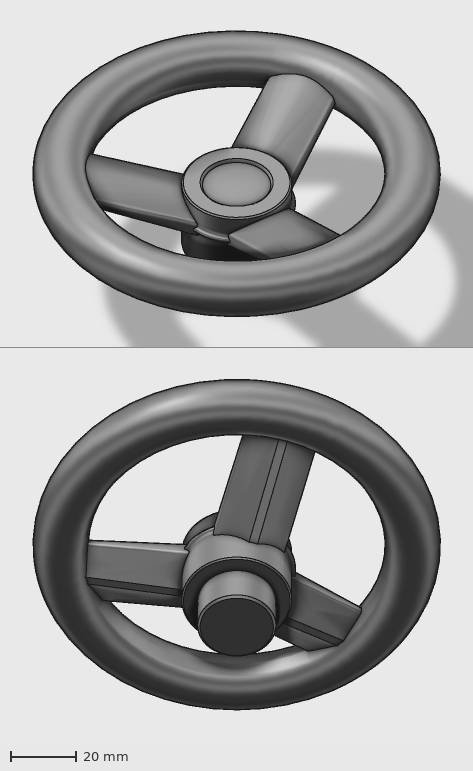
import cadquery as cq
import math


OUTER_DIAMETER = 125.0
RIM_THICKNESS = 17.0
RIM_PATH_RADIUS = (OUTER_DIAMETER - RIM_THICKNESS) / 2

OVERALL_HEIGHT = 49.0
BUSHING_DIAMETER = 24.0
BUSHING_LENGTH = 12.7
BUSHING_CHAMFER = 0.7
BUSHING_BOTTOM = RIM_THICKNESS / 2 - OVERALL_HEIGHT

HUB_DIAMETER = 33.7
HUB_RADIUS = HUB_DIAMETER / 2
HUB_BOTTOM = BUSHING_BOTTOM + BUSHING_LENGTH
HUB_TOP = -3.5
HUB_CHAMFER = 0.5

BEAD_DIAMETER = 36.1
BEAD_CENTRE = -12.1
BEAD_CREST_HEIGHT = 1.5
BEAD_HOLLOW_HEIGHT = 1.5

CAP_DIAMETER = 21.0
CAP_MOUTH_DIAMETER = 22.4
CAP_RIM_DEPTH = 1.0
CAP_SKIRT_HEIGHT = 2.0
CAP_RADIUS = CAP_DIAMETER / 2
CAP_EDGE = HUB_TOP - CAP_RIM_DEPTH
CAP_BOTTOM = CAP_EDGE - CAP_SKIRT_HEIGHT

SPOKE_COUNT = 3
SPOKE_WIDTH = 23.0
UPPER_EDGE_FILLET = 2.0
LOWER_EDGE_FILLET = 1.2
KEEL_WIDTH = 2.7
SPOKE_START = 2.5
SPOKE_END_DIAMETER = 103.2
SPOKE_END_RADIUS = SPOKE_END_DIAMETER / 2

INNER_STATION = 12.5
OUTER_STATION = 46.2

INNER_HEIGHTS = (-6.7, -10.2, -14.6, -21.4)
OUTER_HEIGHTS = (3.7, 1.5, -1.1, -5.4)


def spoke_heights(distance):
    """Crown, edge and keel heights at a distance from the axis; all four run straight."""
    share = (distance - INNER_STATION) / (OUTER_STATION - INNER_STATION)
    return [inner + share * (outer - inner) for inner, outer in zip(INNER_HEIGHTS, OUTER_HEIGHTS)]


def spoke_section(distance):
    """Section across a spoke along +X: arched crown, upright edges, flanks down to a flat keel."""
    crown, upper, lower, keel = spoke_heights(distance)
    half = SPOKE_WIDTH / 2
    return (
        cq.Workplane("YZ", origin=(distance, 0, 0))
        .moveTo(-half, upper)
        .threePointArc((0, crown), (half, upper))
        .lineTo(half, lower)
        .lineTo(KEEL_WIDTH / 2, keel)
        .lineTo(-KEEL_WIDTH / 2, keel)
        .lineTo(-half, lower)
        .close()
        .wires()
        .val()
    )


def runs_along_spoke(edge):
    """True for the long edges, false for the upright ones at the spoke ends."""
    return edge.BoundingBox().xlen > SPOKE_END_RADIUS / 2


def make_spoke():
    """Tapered spoke along +X, ending inside the rim on a cylinder about the wheel axis."""
    sections = [spoke_section(SPOKE_START), spoke_section(SPOKE_END_RADIUS)]
    spoke = cq.Workplane(cq.Solid.makeLoft(sections, True))
    for end, radius in ((">Z", UPPER_EDGE_FILLET), ("<Z", LOWER_EDGE_FILLET)):
        upright_sides = spoke.faces("<Y or >Y")
        spoke = upright_sides.edges().filter(runs_along_spoke).edges(end).fillet(radius)
    reach = cq.Workplane("XY").circle(SPOKE_END_RADIUS).extrude(OVERALL_HEIGHT, both=True)
    return spoke.intersect(reach)


def make_bead():
    """Ring with a round crest that runs tangentially into the hub wall through two hollows."""
    rise = BEAD_DIAMETER / 2 - HUB_RADIUS
    crest_half = BEAD_CREST_HEIGHT / 2
    foot = crest_half + BEAD_HOLLOW_HEIGHT
    hollow_rise = rise * BEAD_HOLLOW_HEIGHT / foot
    bend_radius = HUB_RADIUS + hollow_rise
    hollow_arc_radius = (BEAD_HOLLOW_HEIGHT**2 + hollow_rise**2) / (2 * hollow_rise)
    mid_step = BEAD_HOLLOW_HEIGHT / 2
    mid_height = crest_half + mid_step
    mid_radius = HUB_RADIUS + hollow_arc_radius - math.sqrt(hollow_arc_radius**2 - mid_step**2)
    return (
        cq.Workplane("XZ", origin=(0, 0, BEAD_CENTRE))
        .moveTo(0, -foot)
        .lineTo(HUB_RADIUS, -foot)
        .threePointArc((mid_radius, -mid_height), (bend_radius, -crest_half))
        .threePointArc((BEAD_DIAMETER / 2, 0), (bend_radius, crest_half))
        .threePointArc((mid_radius, mid_height), (HUB_RADIUS, foot))
        .lineTo(0, foot)
        .close()
        .revolve(360, (0, 0, 0), (0, 1, 0))
    )


def make_cap_seat():
    """Round recess for the cap, with a mouth that flares towards the hub top."""
    return (
        cq.Workplane("XZ")
        .moveTo(0, HUB_TOP)
        .lineTo(CAP_MOUTH_DIAMETER / 2, HUB_TOP)
        .lineTo(CAP_RADIUS, CAP_EDGE)
        .lineTo(CAP_RADIUS, CAP_BOTTOM)
        .lineTo(0, CAP_BOTTOM)
        .close()
        .revolve(360, (0, 0, 0), (0, 1, 0))
    )


def make_hub():
    """Hub barrel with its bead and spokes, open at the top for the cap."""
    hub = (
        cq.Workplane("XY", origin=(0, 0, HUB_BOTTOM))
        .circle(HUB_RADIUS)
        .extrude(HUB_TOP - HUB_BOTTOM)
        .faces("<Z or >Z")
        .chamfer(HUB_CHAMFER)
        .union(make_bead())
    )
    spoke = make_spoke()
    for i in range(SPOKE_COUNT):
        hub = hub.union(spoke.rotate((0, 0, 0), (0, 0, 1), i * 360 / SPOKE_COUNT))
    return hub.cut(make_cap_seat())


def make_cap():
    """Disc with a shallow dome that peaks level with the hub top."""
    dome_radius = (CAP_RADIUS**2 + CAP_RIM_DEPTH**2) / (2 * CAP_RIM_DEPTH)
    mid_x = CAP_RADIUS / 2
    mid_z = HUB_TOP - dome_radius + math.sqrt(dome_radius**2 - mid_x**2)
    return (
        cq.Workplane("XZ")
        .moveTo(0, CAP_BOTTOM)
        .lineTo(CAP_RADIUS, CAP_BOTTOM)
        .lineTo(CAP_RADIUS, CAP_EDGE)
        .threePointArc((mid_x, mid_z), (0, HUB_TOP))
        .close()
        .revolve(360, (0, 0, 0), (0, 1, 0))
    )


def make_rim(hub):
    """Round ring with sockets that match the spoke ends."""
    ring = cq.Workplane(cq.Solid.makeTorus(RIM_PATH_RADIUS, RIM_THICKNESS / 2))
    return ring.cut(hub)


def make_bushing():
    """Plain cylinder under the hub, chamfered at its free end."""
    return (
        cq.Workplane("XY", origin=(0, 0, BUSHING_BOTTOM))
        .circle(BUSHING_DIAMETER / 2)
        .extrude(BUSHING_LENGTH)
        .faces("<Z")
        .chamfer(BUSHING_CHAMFER)
    )


hub = make_hub()
rim = make_rim(hub)
bushing = make_bushing()
cap = make_cap()

bodies = [rim, hub, bushing, cap]
result = cq.Compound.makeCompound([body.solids().val() for body in bodies])